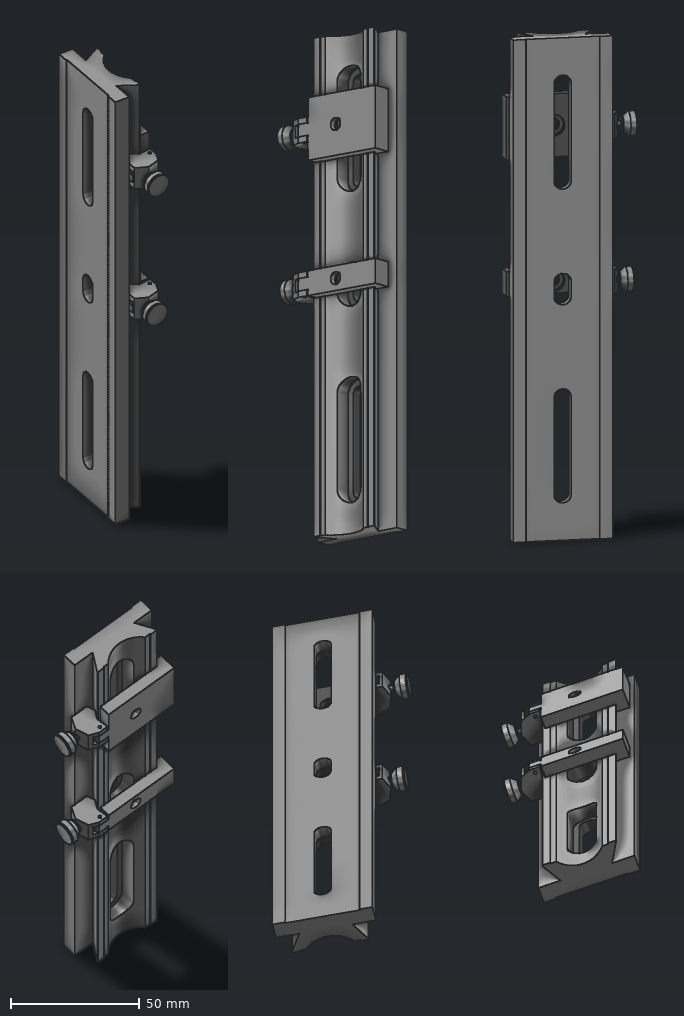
import cadquery as cq
import math

RAIL_LENGTH = 200.0
RAIL_WIDTH = 40.0
RAIL_DEPTH = 15.0
PLATE_THICKNESS = 6.5
TIP_INSET = 4.8
TIP_FLAT = 0.5
FLANK_ANGLE = 30.0
FRONT_RELIEF_DEPTH = 0.5
FRONT_RELIEF_INSET = 5.2
BACK_RELIEF_DEPTH = 0.5
BACK_RELIEF_INSET = 8.0
CHANNEL_INSET = 10.5
CHANNEL_DEPTH = 4.8

SLOT_WIDTH = 6.8
LONG_SLOT_LENGTH = 45.2
SHORT_SLOT_LENGTH = 12.5
LONG_SLOT_OFFSET = 62.5
SLOT_POCKET_MARGIN = 2.5
SLOT_POCKET_FLOOR = 5.0

OUTER_DEPTH = 20.0
CLAMP_END = 34.0
HOOK_FACE = 12.0
LONG_CLAMP_LENGTH = 25.2
SHORT_CLAMP_LENGTH = 10.0
LONG_CLAMP_Z = 162.5
SHORT_CLAMP_Z = 100.5
MOUNT_HOLE_DIAMETER = 5.0
MOUNT_RECESS_DIAMETER = 8.2
MOUNT_RECESS_DEPTH = 2.5
TONGUE_WIDTH = 5.0
TONGUE_END = 39.5
TONGUE_BOTTOM = 10.0

JAW_HEIGHT = 10.0
JAW_TOP_LEFT = 34.5
JAW_TOP_RIGHT = 38.8
JAW_SHOULDER = (43.0, 18.2)
JAW_NOSE = 44.8
JAW_BOTTOM = 7.5
JAW_BOTTOM_LEFT = 34.5
JAW_BOTTOM_RIGHT = 42.5
JAW_CONTACT_BOTTOM = 11.0
JAW_SLOT_END = 41.2

PIN_X = 37.0
PIN_Y = 18.2
PIN_DIAMETER = 1.2

SCREW_Y = 12.5
SCREW_LENGTH = 15.0
THREAD_DIAMETER = 3.0
THREAD_LENGTH = 4.8
NECK_DIAMETER = 2.5
COLLAR_DIAMETER = 6.0
HEAD_DIAMETER = 10.0
HEAD_LENGTH = 3.0
CONE_LENGTH = 2.5
COLLAR_LENGTH = 0.5
RIM_BEVEL_LENGTH = 0.5
RIM_BEVEL_DEPTH = 0.2
LOOSE_SCREW_END = 52.0
TIGHT_SCREW_END = 50.8

CENTER_X = RAIL_WIDTH / 2
CENTER_Z = RAIL_LENGTH / 2
FLANK_TOP = RAIL_DEPTH - TIP_FLAT


def flank_x(y):
    """X of the left dovetail flank at depth y."""
    return TIP_INSET + (FLANK_TOP - y) * math.tan(math.radians(FLANK_ANGLE))


def mirrored(x):
    """X of the same place on the other side of the rail."""
    return RAIL_WIDTH - x


def prism(points, height, center_z):
    """An XY outline extruded along Z about center_z."""
    outline = cq.Workplane("XY").workplane(offset=center_z - height / 2).polyline(points).close()
    return outline.extrude(height)


def rod_x(diameter, start, end, center_z):
    """A cylinder along X on the screw axis."""
    plane = cq.Workplane("YZ", origin=(start, SCREW_Y, center_z))
    return plane.circle(diameter / 2).extrude(end - start)


def rod_y(diameter, start, end, center_z):
    """A cylinder along +Y on the middle of the rail."""
    plane = cq.Workplane("XZ", origin=(CENTER_X, start, center_z))
    return plane.circle(diameter / 2).extrude(start - end)


def slot_cutter(center_z, length, width, start):
    """A round-ended slot along Z, from depth start to the back of the rail."""
    plane = cq.Workplane("XZ", origin=(CENTER_X, start, center_z))
    return plane.slot2D(length, width, 90).extrude(start - RAIL_DEPTH)


def make_rail():
    """The grooved dovetail rail with a stepped slot at each of three places."""
    back = RAIL_DEPTH - BACK_RELIEF_DEPTH
    root = flank_x(PLATE_THICKNESS)
    rail = (
        cq.Workplane("XY")
        .moveTo(0, 0)
        .lineTo(FRONT_RELIEF_INSET, 0)
        .lineTo(FRONT_RELIEF_INSET, FRONT_RELIEF_DEPTH)
        .lineTo(mirrored(FRONT_RELIEF_INSET), FRONT_RELIEF_DEPTH)
        .lineTo(mirrored(FRONT_RELIEF_INSET), 0)
        .lineTo(RAIL_WIDTH, 0)
        .lineTo(RAIL_WIDTH, PLATE_THICKNESS)
        .lineTo(mirrored(root), PLATE_THICKNESS)
        .lineTo(mirrored(TIP_INSET), FLANK_TOP)
        .lineTo(mirrored(TIP_INSET), RAIL_DEPTH)
        .lineTo(mirrored(BACK_RELIEF_INSET), RAIL_DEPTH)
        .lineTo(mirrored(BACK_RELIEF_INSET), back)
        .lineTo(mirrored(CHANNEL_INSET), back)
        .threePointArc((CENTER_X, RAIL_DEPTH - CHANNEL_DEPTH), (CHANNEL_INSET, back))
        .lineTo(BACK_RELIEF_INSET, back)
        .lineTo(BACK_RELIEF_INSET, RAIL_DEPTH)
        .lineTo(TIP_INSET, RAIL_DEPTH)
        .lineTo(TIP_INSET, FLANK_TOP)
        .lineTo(root, PLATE_THICKNESS)
        .lineTo(0, PLATE_THICKNESS)
        .close()
        .extrude(RAIL_LENGTH)
    )
    slots = [
        (CENTER_Z + LONG_SLOT_OFFSET, LONG_SLOT_LENGTH),
        (CENTER_Z, SHORT_SLOT_LENGTH),
        (CENTER_Z - LONG_SLOT_OFFSET, LONG_SLOT_LENGTH),
    ]
    for slot_z, length in slots:
        rail = rail.cut(slot_cutter(slot_z, length, SLOT_WIDTH, 0))
        pocket_length = length + 2 * SLOT_POCKET_MARGIN
        pocket_width = SLOT_WIDTH + 2 * SLOT_POCKET_MARGIN
        rail = rail.cut(slot_cutter(slot_z, pocket_length, pocket_width, SLOT_POCKET_FLOOR))
    return rail


def make_pin(center_z):
    """A hinge pin along Z, flush with both ends of its jaw."""
    plane = cq.Workplane("XY", origin=(PIN_X, PIN_Y, center_z - JAW_HEIGHT / 2))
    return plane.circle(PIN_DIAMETER / 2).extrude(JAW_HEIGHT)


def make_screw(center_z, head_end):
    """A turned thumb screw along X whose outer face is at head_end."""
    cone_start = head_end - HEAD_LENGTH - CONE_LENGTH
    collar_start = cone_start - COLLAR_LENGTH
    tip = head_end - SCREW_LENGTH
    thread_end = tip + THREAD_LENGTH
    head_radius = HEAD_DIAMETER / 2
    profile = [
        (tip, 0),
        (tip, THREAD_DIAMETER / 2),
        (thread_end, THREAD_DIAMETER / 2),
        (thread_end, NECK_DIAMETER / 2),
        (collar_start, NECK_DIAMETER / 2),
        (collar_start, COLLAR_DIAMETER / 2),
        (cone_start, COLLAR_DIAMETER / 2),
        (head_end - HEAD_LENGTH, head_radius),
        (head_end - RIM_BEVEL_LENGTH, head_radius),
        (head_end, head_radius - RIM_BEVEL_DEPTH),
        (head_end, 0),
    ]
    plane = cq.Workplane("XY", origin=(0, SCREW_Y, center_z))
    return plane.polyline(profile).close().revolve(360, (0, 0, 0), (1, 0, 0))


def make_clamp(center_z, length, screw_end):
    """A hooked bridge with a tongue that carries the hinge pin and takes the screw."""
    bridge = [
        (0, HOOK_FACE),
        (flank_x(HOOK_FACE), HOOK_FACE),
        (TIP_INSET, FLANK_TOP),
        (TIP_INSET, RAIL_DEPTH),
        (CLAMP_END, RAIL_DEPTH),
        (CLAMP_END, OUTER_DEPTH),
        (0, OUTER_DEPTH),
    ]
    tongue_start = mirrored(TIP_INSET)
    tongue = [
        (CLAMP_END, RAIL_DEPTH),
        (tongue_start, RAIL_DEPTH),
        (tongue_start, TONGUE_BOTTOM),
        (TONGUE_END, TONGUE_BOTTOM),
        (TONGUE_END, PIN_Y),
        (JAW_TOP_RIGHT, OUTER_DEPTH),
        (CLAMP_END, OUTER_DEPTH),
    ]
    clamp = prism(bridge, length, center_z).union(prism(tongue, TONGUE_WIDTH, center_z))
    recess_floor = RAIL_DEPTH + MOUNT_RECESS_DEPTH
    clamp = clamp.cut(rod_y(MOUNT_HOLE_DIAMETER, RAIL_DEPTH, OUTER_DEPTH, center_z))
    clamp = clamp.cut(rod_y(MOUNT_RECESS_DIAMETER, RAIL_DEPTH, recess_floor, center_z))
    clamp = clamp.cut(rod_x(THREAD_DIAMETER, screw_end - SCREW_LENGTH, TONGUE_END, center_z))
    return clamp.cut(make_pin(center_z))


def make_jaw(center_z):
    """A jaw whose left side bears on the right dovetail flank."""
    outline = [
        (JAW_TOP_LEFT, OUTER_DEPTH),
        (JAW_TOP_RIGHT, OUTER_DEPTH),
        JAW_SHOULDER,
        (JAW_NOSE, SCREW_Y),
        (JAW_BOTTOM_RIGHT, JAW_BOTTOM),
        (JAW_BOTTOM_LEFT, JAW_BOTTOM),
        (mirrored(flank_x(JAW_CONTACT_BOTTOM)), JAW_CONTACT_BOTTOM),
        (mirrored(TIP_INSET), FLANK_TOP),
        (mirrored(TIP_INSET), RAIL_DEPTH),
    ]
    jaw = prism(outline, JAW_HEIGHT, center_z)
    slot = cq.Workplane("XY", origin=(0, 0, center_z)).box(
        JAW_SLOT_END, OUTER_DEPTH, TONGUE_WIDTH, centered=(False, False, True)
    )
    jaw = jaw.cut(slot)
    jaw = jaw.cut(rod_x(THREAD_DIAMETER, TONGUE_END, JAW_NOSE, center_z))
    return jaw.cut(make_pin(center_z))


rail = make_rail()
stations = [
    (LONG_CLAMP_Z, LONG_CLAMP_LENGTH, LOOSE_SCREW_END),
    (SHORT_CLAMP_Z, SHORT_CLAMP_LENGTH, TIGHT_SCREW_END),
]
bodies = [rail.val()]
for station_z, clamp_length, screw_end in stations:
    bodies.append(make_clamp(station_z, clamp_length, screw_end).val())
    bodies.append(make_jaw(station_z).val())
    bodies.append(make_screw(station_z, screw_end).val())
bodies.append(make_pin(LONG_CLAMP_Z).val())

result = cq.Compound.makeCompound(bodies)